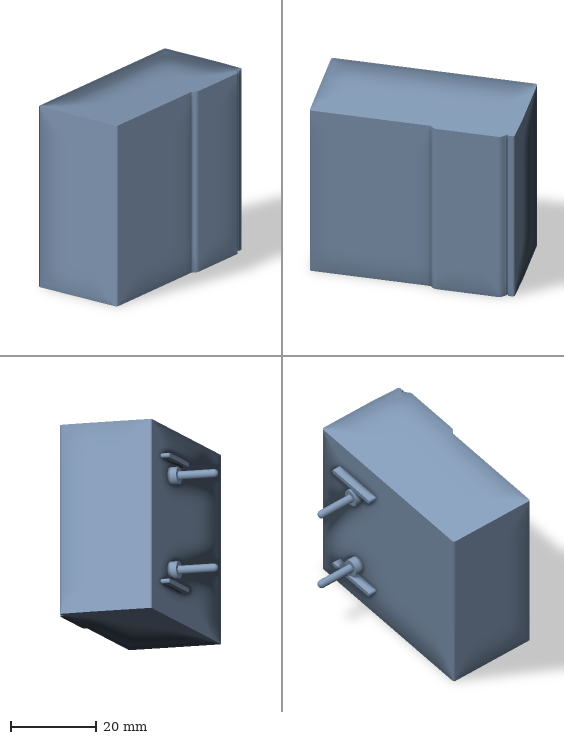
import cadquery as cq
import math

LENGTH_Y = 49.5
HEIGHT_Z = 45.0
OVERALL_X = 35.7

HOUSING_DEPTH = 22.9
PANEL_RISE = 1.0
CORNER_RADIUS = 0.5
PANEL_TOP_Y = 22.3
PANEL_BOTTOM_Y = 4.4
PANEL_SLOPE_Y = 1.0
PANEL_RADIUS = 1.4
GROOVE_DEPTH = 0.5
GROOVE_WIDTH = 0.4
GROOVE_Y = 22.75
DRAFT_LENGTH = 7.42
DRAFT_DROP = 0.3

STANDOFF = 2.15
PLUG_Y = 11.3
PIN_RADIUS = 1.0
PIN_SPACING = 22.45
COLLAR_RADIUS = 2.1
RIB_LENGTH = 13.9
RIB_THICKNESS = 1.1
RIB_SPACING = 29.9

PANEL_FACE_X = HOUSING_DEPTH + PANEL_RISE
PIN_LENGTH = OVERALL_X - PANEL_FACE_X


def make_block():
    """Housing body with one tapered side wall and rounded vertical edges."""
    half_y = LENGTH_Y / 2
    block = (
        cq.Workplane("XY")
        .moveTo(0, -half_y)
        .lineTo(HOUSING_DEPTH, -half_y)
        .lineTo(HOUSING_DEPTH, half_y - DRAFT_DROP)
        .lineTo(HOUSING_DEPTH - DRAFT_LENGTH, half_y)
        .lineTo(0, half_y)
        .close()
        .extrude(HEIGHT_Z / 2, both=True)
    )
    return block.edges("|Z and (<X or >X)").fillet(CORNER_RADIUS)


def make_panel():
    """Raised front panel with sloped and rounded ends, over the full height."""
    return (
        cq.Workplane("XY")
        .moveTo(HOUSING_DEPTH, PANEL_BOTTOM_Y)
        .lineTo(PANEL_FACE_X, PANEL_BOTTOM_Y + PANEL_SLOPE_Y)
        .lineTo(PANEL_FACE_X, PANEL_TOP_Y - PANEL_SLOPE_Y)
        .lineTo(HOUSING_DEPTH, PANEL_TOP_Y)
        .close()
        .extrude(HEIGHT_Z / 2, both=True)
        .edges("|Z and >X")
        .fillet(PANEL_RADIUS)
    )


def make_groove():
    """Cutter for the narrow groove beside the panel."""
    groove = cq.Workplane("XY").box(2 * GROOVE_DEPTH, GROOVE_WIDTH, HEIGHT_Z)
    return groove.translate((HOUSING_DEPTH, GROOVE_Y, 0))


def make_housing():
    return make_block().union(make_panel()).cut(make_groove())


def make_pin(center_z):
    """Round pin with a hemispherical tip."""
    shaft_end = PIN_RADIUS - PIN_LENGTH
    bulge = PIN_RADIUS * math.sqrt(0.5)
    pin = (
        cq.Workplane("XZ")
        .lineTo(0, PIN_RADIUS)
        .lineTo(shaft_end, PIN_RADIUS)
        .threePointArc((shaft_end - bulge, bulge), (-PIN_LENGTH, 0))
        .close()
        .revolve(360, (0, 0, 0), (1, 0, 0))
    )
    return pin.translate((0, PLUG_Y, center_z))


def make_collar(center_z):
    """Ring around the foot of a pin."""
    ring = cq.Workplane("YZ").circle(COLLAR_RADIUS).circle(PIN_RADIUS).extrude(-STANDOFF)
    return ring.translate((0, PLUG_Y, center_z))


def make_rib(center_z):
    """Flat rib with fully rounded ends."""
    rib = cq.Workplane("YZ").slot2D(RIB_LENGTH, RIB_THICKNESS).extrude(-STANDOFF)
    return rib.translate((0, PLUG_Y, center_z))


housing = make_housing()
bodies = [housing.val()]
for side in (-1, 1):
    bodies.append(make_pin(side * PIN_SPACING / 2).val())
    bodies.append(make_collar(side * PIN_SPACING / 2).val())
    bodies.append(make_rib(side * RIB_SPACING / 2).val())

result = cq.Compound.makeCompound(bodies)